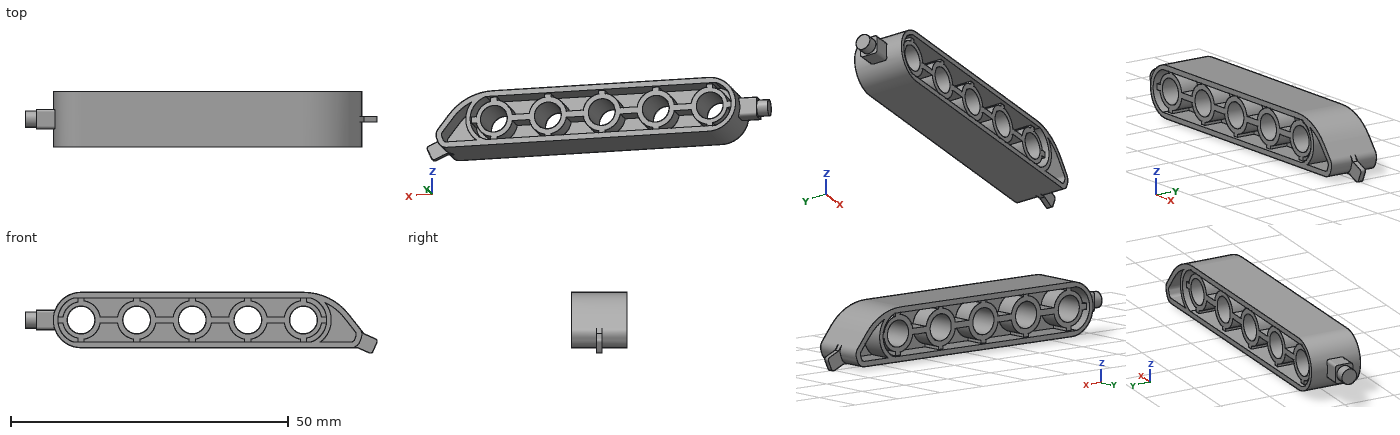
import cadquery as cq
import math

overall_length = 63.4
hole_count = 5
pitch = 10.0
end_radius = pitch / 2
wall = 1.0
ring_radius = 4.2
hole_radius = 2.5
hub_radius = 3.5
end_hub_radius = 3.3
rib_thickness = 1.15
hub_recess = 0.8

brow_radius = 10.35
nose_foot = 9.75
nose_tilt = math.radians(20)
nose_radius = 1.8

tab_tilt = math.radians(24)
tab_width = 2.8
tab_length = 2.8
tab_corner_radius = 0.5
tab_root_offset = 9.75

block_size = 3.55
block_corner_radius = 0.5
block_end = 8.05
pin_diameter = 3.0

last_hole_x = (hole_count - 1) * pitch
inner_half_height = end_radius - wall
hole_centers = [(i * pitch, 0) for i in range(hole_count)]

tab_axis = (math.cos(tab_tilt), -math.sin(tab_tilt))
tab_across = (math.sin(tab_tilt), math.cos(tab_tilt))
root_low = (last_hole_x + tab_root_offset, -end_radius)
root_high = (root_low[0] + tab_width * tab_across[0], root_low[1] + tab_width * tab_across[1])

brow_center = (last_hole_x, end_radius - brow_radius)
root_dx = root_high[0] - brow_center[0]
root_dz = root_high[1] - brow_center[1]
slope_normal = math.atan2(root_dz, root_dx) + math.acos(brow_radius / math.hypot(root_dx, root_dz))

tab_reach = (
    root_high[0]
    + (tab_length - tab_corner_radius) * tab_axis[0]
    - tab_corner_radius * tab_across[0]
    + tab_corner_radius
)
pin_tip = overall_length - tab_reach


def extrude_centered(sketch, depth):
    """Extrude an XZ sketch equally to both sides of the middle plane."""
    return sketch.extrude(depth / 2, both=True)


def brow_point(angle, radius):
    """Point around the brow's center, at an angle up from +X."""
    return (brow_center[0] + radius * math.cos(angle), brow_center[1] + radius * math.sin(angle))


def line_crossing(angle_a, distance_a, angle_b, distance_b):
    """Crossing of two lines, each given by its normal angle and its distance from the last hole."""
    spread = math.sin(angle_b - angle_a)
    dx = (distance_a * math.sin(angle_b) - distance_b * math.sin(angle_a)) / spread
    dz = (distance_b * math.cos(angle_a) - distance_a * math.cos(angle_b)) / spread
    return (last_hole_x + dx, dz)


def nose_solid(inset, depth):
    """Sloped end right of the last hole, its outline moved inwards by inset."""
    radius = brow_radius - inset
    slope_distance = radius + brow_center[1] * math.sin(slope_normal)
    face_normal = -nose_tilt
    face_distance = nose_foot * math.cos(nose_tilt) + end_radius * math.sin(nose_tilt) - inset
    underside_normal = -math.pi / 2
    underside_distance = end_radius - inset
    upper_corner = line_crossing(slope_normal, slope_distance, face_normal, face_distance)
    lower_corner = line_crossing(face_normal, face_distance, underside_normal, underside_distance)
    solid = extrude_centered(
        cq.Workplane("XZ")
        .moveTo(last_hole_x, -underside_distance)
        .lineTo(last_hole_x, underside_distance)
        .threePointArc(
            brow_point((slope_normal + math.pi / 2) / 2, radius), brow_point(slope_normal, radius)
        )
        .lineTo(*upper_corner)
        .lineTo(*lower_corner)
        .close(),
        depth,
    )
    nose_face = solid.faces(
        cq.selectors.DirectionMinMaxSelector(cq.Vector(math.cos(face_normal), 0, math.sin(face_normal)))
    )
    return nose_face.edges("|Y").fillet(nose_radius - inset)


def straight_bar(radius, half_height, depth):
    """Round-ended bar over all holes, cut flat at half_height."""
    length = last_hole_x + 2 * radius
    slot = extrude_centered(
        cq.Workplane("XZ").center(last_hole_x / 2, 0).slot2D(length, 2 * radius), depth
    )
    flat = cq.Workplane("XY").box(length, depth, 2 * half_height).translate((last_hole_x / 2, 0, 0))
    return slot.intersect(flat)


def hubs_and_ribs():
    """Tubes around the holes with a cross of ribs through each."""
    depth = pitch - 2 * hub_recess
    middle_hubs = extrude_centered(
        cq.Workplane("XZ").pushPoints(hole_centers).circle(hub_radius), depth
    )
    between_ends = cq.Workplane("XY").box(last_hole_x, depth, pitch).translate((last_hole_x / 2, 0, 0))
    end_hubs = extrude_centered(
        cq.Workplane("XZ").pushPoints([hole_centers[0], hole_centers[-1]]).circle(end_hub_radius), depth
    )
    hubs = middle_hubs.intersect(between_ends).union(end_hubs)
    uprights = extrude_centered(
        cq.Workplane("XZ").pushPoints(hole_centers).rect(rib_thickness, 2 * end_radius), depth
    )
    spine = cq.Workplane("XY").box(last_hole_x + 2 * ring_radius, depth, rib_thickness)
    return hubs.union(uprights).union(spine.translate((last_hole_x / 2, 0, 0)))


def pockets():
    """Hollows open on both side faces, apart from the middle plate."""
    beam_hollow = straight_bar(ring_radius, inner_half_height, pitch).cut(hubs_and_ribs())
    ring = extrude_centered(cq.Workplane("XZ").center(last_hole_x, 0).circle(end_radius), pitch)
    nose_hollow = nose_solid(wall, pitch).cut(ring)
    plate = cq.Workplane("XY").box(2 * overall_length, wall, pitch)
    return beam_hollow.union(nose_hollow).cut(plate)


def tab():
    """Thin tilted tab that continues the slope and the underside."""
    tip_low, tip_high = [
        (x + tab_length * tab_axis[0], z + tab_length * tab_axis[1])
        for x, z in (root_low, root_high)
    ]
    blade = extrude_centered(
        cq.Workplane("XZ").polyline([root_low, tip_low, tip_high, root_high]).close(), wall
    )
    tip_face = blade.faces(cq.selectors.DirectionMinMaxSelector(cq.Vector(tab_axis[0], 0, tab_axis[1])))
    blade = tip_face.edges("|Y").fillet(tab_corner_radius)
    web = extrude_centered(
        cq.Workplane("XZ")
        .polyline([root_low, root_high, brow_point(slope_normal, brow_radius), (last_hole_x, -end_radius)])
        .close(),
        wall,
    )
    return blade.union(web)


def pin():
    """Square block with a round pin on the first end."""
    block = (
        cq.Workplane("YZ")
        .rect(block_size, block_size)
        .extrude(-block_end)
        .edges("|X")
        .fillet(block_corner_radius)
    )
    return block.union(cq.Workplane("YZ").circle(pin_diameter / 2).extrude(-pin_tip))


outside = straight_bar(end_radius, end_radius, pitch).union(nose_solid(0, pitch)).union(tab()).union(pin())
bores = extrude_centered(cq.Workplane("XZ").pushPoints(hole_centers).circle(hole_radius), pitch)
result = outside.cut(pockets()).cut(bores)